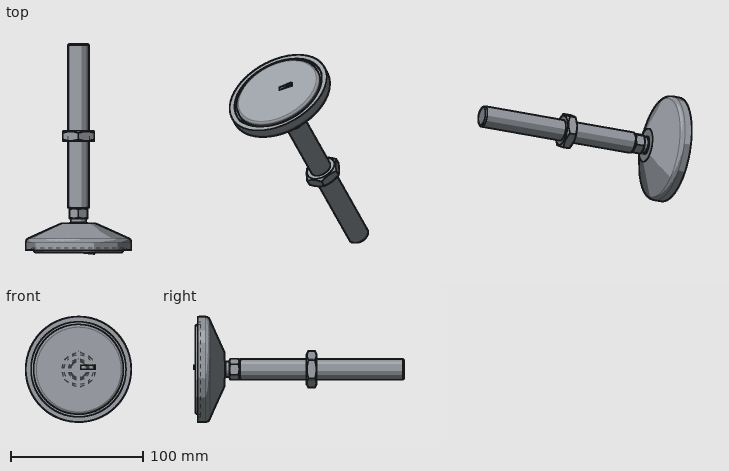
import cadquery as cq
import math


plate_radius = 40.0
plate_bottom = 1.9
cone_bottom = 10.0
shoulder_fillet = 3.5
plate_top = 22.3
plate_top_radius = 12.7
recess_radius = 72.0 / 2
recess_depth = 1.9

pad_radius = 68.0 / 2
pad_edge_radius = 1.9

wedge_start_x = 1.6
wedge_tip_x = 11.8
wedge_end_x = 12.6
wedge_drop = 1.1
wedge_center_z = 1.6
wedge_width = 3.0

thread_radius = 8.0
thread_bottom = 34.1
spindle_top = 159.3 - wedge_drop
end_chamfer = 1.1
neck_radius = 12.0 / 2
neck_foot_radius = 13.7 / 2
neck_foot_top = 23.0
hexagon_bottom = 25.8
hexagon_across_flats = 13.9
hexagon_top = 33.5
hexagon_chamfer_radius = 6.5
relief_radius = hexagon_chamfer_radius

nut_bottom = 84.1
nut_height = 8.0
nut_across_flats = 24.0
nut_chamfer_radius = 11.2

chamfer_slope = math.tan(math.radians(30))


def cylinder(radius, bottom, top):
    """Cylinder on the Y axis between two heights."""
    return cq.Workplane("XZ", origin=(0, bottom, 0)).circle(radius).extrude(bottom - top)


def revolve_about_y(profile):
    """Full turn of an XY profile about the Y axis."""
    return profile.close().revolve(360, (0, 0, 0), (0, 1, 0))


def chamfered_hexagon(across_flats, bottom, top, end_radius):
    """Hexagon with flats facing X and conical chamfers at both ends."""
    corner_radius = across_flats / math.sqrt(3)
    prism = (
        cq.Workplane("XZ", origin=(0, bottom, 0))
        .polygon(6, 2 * corner_radius)
        .extrude(bottom - top)
        .rotate((0, 0, 0), (0, 1, 0), 30)
    )
    chamfer_height = (corner_radius - end_radius) * chamfer_slope
    envelope = revolve_about_y(
        cq.Workplane("XY")
        .moveTo(0, bottom)
        .lineTo(end_radius, bottom)
        .lineTo(corner_radius, bottom + chamfer_height)
        .lineTo(corner_radius, top - chamfer_height)
        .lineTo(end_radius, top)
        .lineTo(0, top)
    )
    return prism.intersect(envelope)


def make_plate():
    """Conical plate with a rounded shoulder and a recess for the pad."""
    body = revolve_about_y(
        cq.Workplane("XY")
        .moveTo(0, plate_bottom)
        .lineTo(plate_radius, plate_bottom)
        .lineTo(plate_radius, cone_bottom)
        .lineTo(plate_top_radius, plate_top)
        .lineTo(0, plate_top)
    )
    shoulder = cq.selectors.NearestToPointSelector((0, cone_bottom, 0))
    body = body.edges("%CIRCLE").edges(shoulder).fillet(shoulder_fillet)
    return body.cut(cylinder(recess_radius, plate_bottom, plate_bottom + recess_depth))


def make_pad():
    """Disc seated in the plate recess, with a rounded lower edge."""
    disc = cylinder(pad_radius, 0, plate_bottom + recess_depth)
    return disc.faces("<Y").edges().fillet(pad_edge_radius)


def make_spindle():
    """Plain rod with a relief, a hexagon and a neck flared onto the plate."""
    rod = cylinder(thread_radius, thread_bottom, spindle_top).faces(">Y").edges().chamfer(end_chamfer)
    hexagon = chamfered_hexagon(
        hexagon_across_flats, hexagon_bottom, hexagon_top, hexagon_chamfer_radius
    )
    relief = cylinder(relief_radius, hexagon_top, thread_bottom)
    neck = revolve_about_y(
        cq.Workplane("XY")
        .moveTo(0, plate_top)
        .lineTo(neck_foot_radius, plate_top)
        .lineTo(neck_radius, neck_foot_top)
        .lineTo(neck_radius, hexagon_bottom)
        .lineTo(0, hexagon_bottom)
    )
    return rod.union(relief).union(hexagon).union(neck)


def make_lock_nut():
    """Hexagon nut, chamfered at both ends, around the rod."""
    nut_top = nut_bottom + nut_height
    blank = chamfered_hexagon(nut_across_flats, nut_bottom, nut_top, nut_chamfer_radius)
    return blank.cut(cylinder(thread_radius, nut_bottom, nut_top))


def make_wedge():
    """Small wedge on the pad's underside, deepest toward +X."""
    return (
        cq.Workplane("XY", origin=(0, 0, wedge_center_z))
        .moveTo(wedge_start_x, 0)
        .lineTo(wedge_tip_x, -wedge_drop)
        .lineTo(wedge_end_x, 0)
        .close()
        .extrude(wedge_width / 2, both=True)
    )


plate = make_plate()
pad = make_pad()
spindle = make_spindle()
lock_nut = make_lock_nut()
wedge = make_wedge()

result = cq.Compound.makeCompound(
    [plate.val(), pad.val(), spindle.val(), lock_nut.val(), wedge.val()]
)